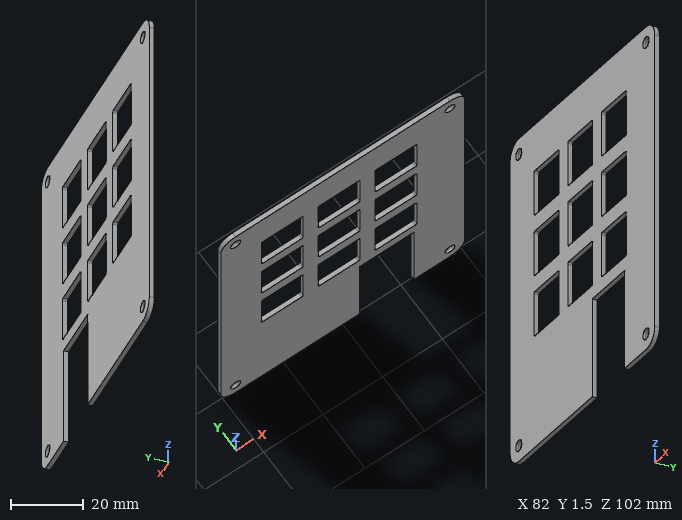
import cadquery as cq

plate_width = 82.0
plate_height = 102.0
plate_thickness = 1.5
corner_radius = 5.0

mount_hole_diameter = 3.4
mount_hole_inset = corner_radius

grid_count = 3
switch_size = 14.0
switch_pitch = 19.1
switch_corner_radius = 0.5
grid_center_x = -1.2
grid_center_z = 10.3

notch_width = 18.2
notch_depth = 30.9
notch_center_x = 14.8


def make_plate():
    """Rounded rectangular plate centred on the origin."""
    return (
        cq.Workplane("XY")
        .box(plate_width, plate_thickness, plate_height)
        .edges("|Y")
        .fillet(corner_radius)
    )


def make_mount_holes():
    """Four through pins, one at each corner of the plate."""
    return (
        cq.Workplane("XZ")
        .rect(
            plate_width - 2 * mount_hole_inset,
            plate_height - 2 * mount_hole_inset,
            forConstruction=True,
        )
        .vertices()
        .circle(mount_hole_diameter / 2)
        .extrude(plate_thickness, both=True)
    )


def make_switch_cutouts():
    """Grid of square through blocks with slightly rounded corners."""
    return (
        cq.Workplane("XZ")
        .center(grid_center_x, grid_center_z)
        .rarray(switch_pitch, switch_pitch, grid_count, grid_count)
        .rect(switch_size, switch_size)
        .extrude(plate_thickness, both=True)
        .edges("|Y")
        .fillet(switch_corner_radius)
    )


def make_notch():
    """Sharp-cornered block rising from the bottom edge of the plate."""
    notch_center_z = (notch_depth - plate_height) / 2
    return (
        cq.Workplane("XZ")
        .center(notch_center_x, notch_center_z)
        .rect(notch_width, notch_depth)
        .extrude(plate_thickness, both=True)
    )


result = make_plate().cut(make_mount_holes()).cut(make_switch_cutouts()).cut(make_notch())